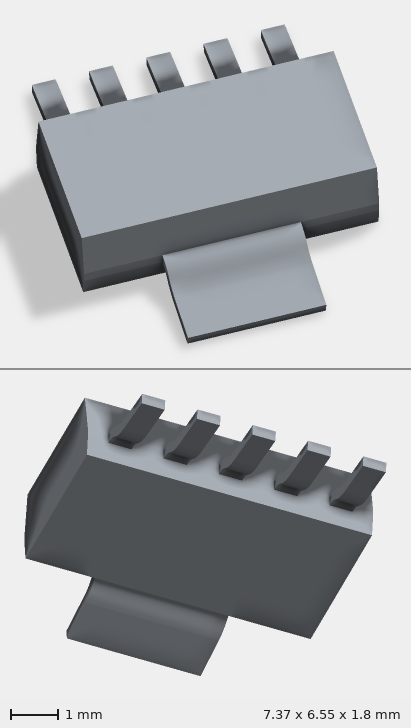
import cadquery as cq
import math

overall_length = 7.37
package_width = 6.55
overall_height = 1.80
standoff = 0.02

belt_length = 3.56
top_length = 3.22
bottom_length = 3.45

strip_thickness = 0.25
bend_angle = math.radians(40)
foot_angle = math.radians(8)
upper_bend_radius = 0.77
lower_bend_radius = 0.755

lead_count = 5
lead_pitch = 1.27
lead_width = 0.53
tab_width = 3.07

exit_x = belt_length / 2
tip_x = overall_length / 2
slope_x = exit_x + upper_bend_radius * math.sin(bend_angle)
foot_x = slope_x + lower_bend_radius * (math.sin(bend_angle) - math.sin(foot_angle))
upper_bend_drop = upper_bend_radius * (1 - math.cos(bend_angle))
lower_bend_drop = lower_bend_radius * (math.cos(foot_angle) - math.cos(bend_angle))
foot_drop = (tip_x - foot_x) * math.tan(foot_angle)
tip_height = strip_thickness * math.cos(foot_angle)

belt_top = tip_height + foot_drop + lower_bend_drop + upper_bend_drop
belt_bottom = belt_top - strip_thickness

upper_center = (exit_x, belt_top - upper_bend_radius)
lower_center = (
    foot_x + lower_bend_radius * math.sin(foot_angle),
    tip_height + foot_drop + lower_bend_radius * math.cos(foot_angle),
)


def upper_bend_point(radius, slope):
    """Point of the upper bend where the strip descends at the given slope."""
    x, z = upper_center
    return (x + radius * math.sin(slope), z + radius * math.cos(slope))


def lower_bend_point(radius, slope):
    """Point of the lower bend where the strip descends at the given slope."""
    x, z = lower_center
    return (x - radius * math.sin(slope), z - radius * math.cos(slope))


def make_package():
    """Hexagonal section extruded along Y, centred on the origin."""
    right_side = [
        (bottom_length / 2, standoff),
        (belt_length / 2, belt_bottom),
        (belt_length / 2, belt_top),
        (top_length / 2, overall_height),
    ]
    left_side = [(-x, z) for x, z in reversed(right_side)]
    outline = cq.Workplane("XZ").polyline(right_side + left_side).close()
    return outline.extrude(package_width / 2, both=True)


def make_strip(width):
    """Gull-wing strip on the +X side, butting against the package belt."""
    upper_inner_radius = upper_bend_radius - strip_thickness
    lower_outer_radius = lower_bend_radius + strip_thickness
    upper_middle = bend_angle / 2
    lower_middle = (bend_angle + foot_angle) / 2
    tip_bottom_x = tip_x - strip_thickness * math.sin(foot_angle)
    return (
        cq.Workplane("XZ")
        .moveTo(exit_x, belt_top)
        .threePointArc(
            upper_bend_point(upper_bend_radius, upper_middle),
            upper_bend_point(upper_bend_radius, bend_angle),
        )
        .threePointArc(
            lower_bend_point(lower_bend_radius, lower_middle),
            lower_bend_point(lower_bend_radius, foot_angle),
        )
        .lineTo(tip_x, tip_height)
        .lineTo(tip_bottom_x, 0)
        .lineTo(*lower_bend_point(lower_outer_radius, foot_angle))
        .threePointArc(
            lower_bend_point(lower_outer_radius, lower_middle),
            lower_bend_point(lower_outer_radius, bend_angle),
        )
        .threePointArc(
            upper_bend_point(upper_inner_radius, upper_middle),
            (exit_x, belt_bottom),
        )
        .close()
        .extrude(width / 2, both=True)
    )


def make_lead(y):
    """Thin lead on the -X side, centred at the given Y."""
    return make_strip(lead_width).mirror("YZ").translate((0, y, 0))


package = make_package()
tab = make_strip(tab_width)
first_lead_y = -lead_pitch * (lead_count - 1) / 2
leads = [make_lead(first_lead_y + i * lead_pitch) for i in range(lead_count)]

result = cq.Compound.makeCompound(
    [package.val(), tab.val(), *[lead.val() for lead in leads]]
)